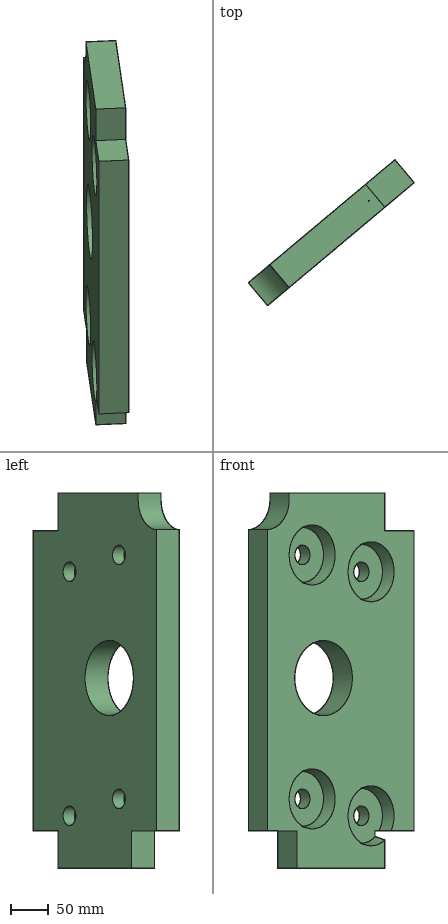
import cadquery as cq
import math

width = 255.0
height = 500.0
thickness = 40.0
turn_angle = math.radians(40)

notch_width = 51.0
notch_height = 50.0
scoop_radius = 40.0
scoop_center_overhang = 2.5
scoop_center_drop = 9.0

bore_diameter = 100.0
bore_across = 97.5
bore_up = 253.5

bolt_diameter = 26.0
recess_diameter = 80.0
recess_depth = thickness / 2
recess_taper = 10.0
bolt_left_across = 77.5
bolt_lower_up = 92.5
bolt_column_spacing = 102.5
bolt_column_drop = 22.5
bolt_row_spacing = 325.0

cos_turn = math.cos(turn_angle)
sin_turn = math.sin(turn_angle)
front_face = cq.Plane(
    origin=(0, 0, 0),
    xDir=(cos_turn, sin_turn, 0),
    normal=(sin_turn, -cos_turn, 0),
)


def make_plate():
    """Extrude the outline with three square notches and a scooped corner."""
    scoop_center_up = height - scoop_center_drop
    scoop_right = scoop_radius - scoop_center_overhang
    edge_angle = -math.acos(scoop_center_overhang / scoop_radius)
    scoop_low = scoop_center_up + scoop_radius * math.sin(edge_angle)
    middle_angle = edge_angle / 2
    scoop_middle = (
        scoop_radius * math.cos(middle_angle) - scoop_center_overhang,
        scoop_center_up + scoop_radius * math.sin(middle_angle),
    )
    return (
        cq.Workplane(front_face)
        .moveTo(notch_width, 0)
        .lineTo(width - notch_width, 0)
        .lineTo(width - notch_width, notch_height)
        .lineTo(width, notch_height)
        .lineTo(width, height - notch_height)
        .lineTo(width - notch_width, height - notch_height)
        .lineTo(width - notch_width, height)
        .lineTo(scoop_right, height)
        .lineTo(scoop_right, scoop_center_up)
        .threePointArc(scoop_middle, (0, scoop_low))
        .lineTo(0, notch_height)
        .lineTo(notch_width, notch_height)
        .close()
        .extrude(-thickness)
    )


def hole_cutter(points, diameter, depth, taper=0):
    """Round cutters running from the front face into the plate."""
    return (
        cq.Workplane(front_face)
        .pushPoints(points)
        .circle(diameter / 2)
        .extrude(-depth, taper=taper)
    )


bolt_points = [
    (
        bolt_left_across + column * bolt_column_spacing,
        bolt_lower_up - column * bolt_column_drop + row * bolt_row_spacing,
    )
    for column in range(2)
    for row in range(2)
]

result = (
    make_plate()
    .cut(hole_cutter([(bore_across, bore_up)], bore_diameter, thickness))
    .cut(hole_cutter(bolt_points, bolt_diameter, thickness))
    .cut(hole_cutter(bolt_points, recess_diameter, recess_depth, recess_taper))
)